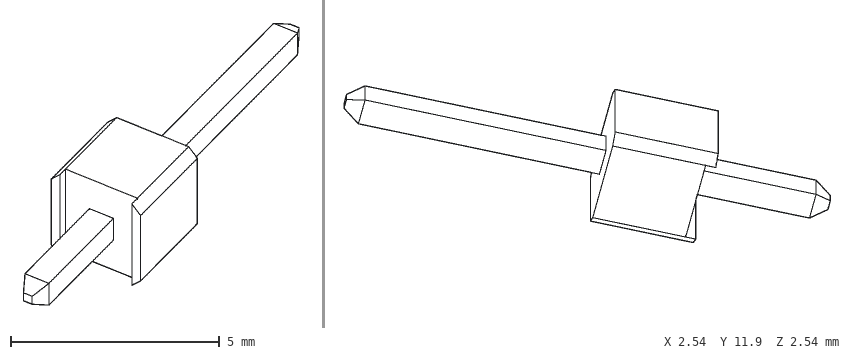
import cadquery as cq

pin_length = 11.94
pin_width = 0.68
tip_width = 0.25
taper_length = 0.4

housing_size = 2.54
corner_chamfer = 0.25
housing_front = -2.93
recess_depth = 0.25
recess_width = housing_size - 2 * corner_chamfer


def make_housing():
    """Cube with chamfered long edges and a recessed front between two side lips."""
    body = (
        cq.Workplane("XY")
        .box(housing_size, housing_size, housing_size)
        .edges("|Y")
        .chamfer(corner_chamfer)
        .translate((0, housing_front + housing_size / 2, 0))
    )
    recess = cq.Workplane("XY").box(recess_width, recess_depth, housing_size)
    return body.cut(recess.translate((0, housing_front + recess_depth / 2, 0)))


def make_taper(direction):
    """Pyramidal pin end that narrows toward +Y (direction 1) or -Y (direction -1)."""
    base_y = direction * (pin_length / 2 - taper_length)
    plane = cq.Plane(origin=(0, base_y, 0), xDir=(1, 0, 0), normal=(0, direction, 0))
    return (
        cq.Workplane(plane)
        .rect(pin_width, pin_width)
        .workplane(offset=taper_length)
        .rect(tip_width, tip_width)
        .loft(ruled=True)
    )


def make_pin():
    """Square shaft with a tapered tip at each end."""
    shaft = cq.Workplane("XY").box(pin_width, pin_length - 2 * taper_length, pin_width)
    for direction in (1, -1):
        shaft = shaft.union(make_taper(direction))
    return shaft


result = make_housing().union(make_pin())